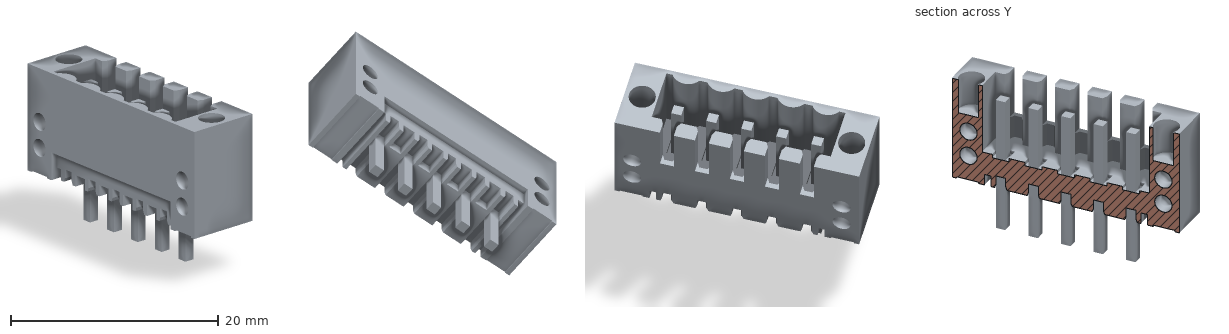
import cadquery as cq


LENGTH = 24.5
DEPTH = 7.45
HEIGHT = 11.07
FRONT_Y = -DEPTH / 2
BACK_Y = DEPTH / 2

PIN_COUNT = 5
PITCH = 3.5
PIN_WIDTH = 1.0
PIN_Y = FRONT_Y + 3.5
PIN_TAIL = 4.48
PIN_TIP_DROP = 1.27
PIN_LENGTH = PIN_TAIL + HEIGHT - PIN_TIP_DROP
PIN_XS = [(i - (PIN_COUNT - 1) / 2) * PITCH for i in range(PIN_COUNT)]
GAP_XS = [x + PITCH / 2 for x in PIN_XS[:-1]]

POCKET_LENGTH = 17.93
POCKET_FLOOR_Z = 3.68
POCKET_FRONT_Y = FRONT_Y + 0.45
POCKET_BACK_Y = BACK_Y - 1.62
POCKET_HEIGHT = HEIGHT - POCKET_FLOOR_Z

RIB_CHORD = 2.7
RIB_BULGE = 0.74

PIN_SINK_WIDTH = 1.76
PIN_SINK_DEPTH = 0.37

GROOVE_MOUTH = 1.94
GROOVE_END = 0.8
GROOVE_DEPTH = 1.08
SLOT_WIDTH = 1.4
SLOT_DEPTH = 5.02

END_HOLE_X = LENGTH / 2 - 1.76
SCREW_HOLE_DIAMETER = 2.62
SCREW_HOLE_DEPTH = 3.68
SCREW_HOLE_Y = 0.02
CROSS_HOLE_DIAMETER = 1.81
CROSS_HOLE_ZS = [2.85, 5.54]

RECESS_LENGTH = PIN_COUNT * PITCH
RECESS_HEIGHT = 2.87
RECESS_DEPTH = 0.64
COMB_HEIGHT = 1.18
COMB_LENGTH = 16.17
END_GAP = (RECESS_LENGTH - COMB_LENGTH) / 2
CHANNEL_WIDTH = 1.37
CHANNEL_DEPTH = 2.2
PIN_SLOT_HEIGHT = 1.32
PIN_SLOT_FLARE = 0.15
PIN_SLOT_FLARE_HEIGHT = 0.4
FOOT_NOTCH_X = LENGTH / 2 - 1.67
FOOT_NOTCH_WIDTH = 2.3
FOOT_NOTCH_HEIGHT = 0.15


def block(length, y_start, y_end, z_start, z_end, x=0.0):
    """Box centred on x, between the given Y and Z limits."""
    box = cq.Workplane("XY").box(length, y_end - y_start, z_end - z_start, centered=(True, False, False))
    return box.translate((x, y_start, z_start))


def pocket_rib(x):
    """Rib with an arc front, as tall as the pocket."""
    half = RIB_CHORD / 2
    return (
        cq.Workplane("XY", origin=(x, POCKET_FRONT_Y, POCKET_FLOOR_Z))
        .moveTo(-half, 0)
        .threePointArc((0, RIB_BULGE), (half, 0))
        .close()
        .extrude(POCKET_HEIGHT)
    )


def pocket():
    """Plug space: the rectangle less its front ribs."""
    space = block(POCKET_LENGTH, POCKET_FRONT_Y, POCKET_BACK_Y, POCKET_FLOOR_Z, HEIGHT)
    for x in PIN_XS:
        space = space.cut(pocket_rib(x))
    return space


def back_wall_groove(x):
    """Tapered groove behind a pin, down to the pocket floor."""
    return (
        cq.Workplane("XY", origin=(x, POCKET_BACK_Y, POCKET_FLOOR_Z))
        .polyline([
            (-GROOVE_MOUTH / 2, 0),
            (GROOVE_MOUTH / 2, 0),
            (GROOVE_END / 2, GROOVE_DEPTH),
            (-GROOVE_END / 2, GROOVE_DEPTH),
        ])
        .close()
        .extrude(POCKET_HEIGHT)
    )


def back_wall_slot(x):
    """Slot through the back wall, open at the top."""
    return block(SLOT_WIDTH, POCKET_BACK_Y, BACK_Y, HEIGHT - SLOT_DEPTH, HEIGHT, x)


def pin_sink(x):
    """Shallow square sunk into the pocket floor around a pin."""
    half = PIN_SINK_WIDTH / 2
    sink_floor_z = POCKET_FLOOR_Z - PIN_SINK_DEPTH
    return block(PIN_SINK_WIDTH, PIN_Y - half, PIN_Y + half, sink_floor_z, POCKET_FLOOR_Z, x)


def screw_hole(x):
    """Blind round hole from the top of one end."""
    return (
        cq.Workplane("XY", origin=(x, SCREW_HOLE_Y, HEIGHT - SCREW_HOLE_DEPTH))
        .circle(SCREW_HOLE_DIAMETER / 2)
        .extrude(SCREW_HOLE_DEPTH)
    )


def cross_hole(x, z):
    """Round hole from front to back."""
    return (
        cq.Workplane("XZ", origin=(x, BACK_Y, z))
        .circle(CROSS_HOLE_DIAMETER / 2)
        .extrude(DEPTH)
    )


def pin_slot(x):
    """Slot under the housing from front to back, flared at its mouth."""
    half = PIN_WIDTH / 2
    mouth = half + PIN_SLOT_FLARE
    return (
        cq.Workplane("XZ", origin=(x, BACK_Y, 0))
        .polyline([
            (-mouth, 0),
            (mouth, 0),
            (half, PIN_SLOT_FLARE_HEIGHT),
            (half, PIN_SLOT_HEIGHT),
            (-half, PIN_SLOT_HEIGHT),
            (-half, PIN_SLOT_FLARE_HEIGHT),
        ])
        .close()
        .extrude(DEPTH)
    )


def pin(x):
    """Straight square pin through the housing floor."""
    return (
        cq.Workplane("XY", origin=(x, PIN_Y, -PIN_TAIL))
        .rect(PIN_WIDTH, PIN_WIDTH)
        .extrude(PIN_LENGTH)
    )


def make_housing(pins):
    """Housing with every opening, and a matching hole for each pin."""
    body = block(LENGTH, FRONT_Y, BACK_Y, 0, HEIGHT)
    body = body.cut(pocket())

    recess_y = FRONT_Y + RECESS_DEPTH
    body = body.cut(block(RECESS_LENGTH, FRONT_Y, recess_y, 0, RECESS_HEIGHT))

    for x in GAP_XS:
        body = body.cut(block(CHANNEL_WIDTH, recess_y, recess_y + CHANNEL_DEPTH, 0, COMB_HEIGHT, x))

    for x in PIN_XS:
        for opening in (back_wall_groove(x), back_wall_slot(x), pin_sink(x), pin_slot(x)):
            body = body.cut(opening)

    for side in (-1, 1):
        hole_x = side * END_HOLE_X
        gap_x = side * (COMB_LENGTH + END_GAP) / 2
        body = body.cut(screw_hole(hole_x))
        for z in CROSS_HOLE_ZS:
            body = body.cut(cross_hole(hole_x, z))
        body = body.cut(block(END_GAP, FRONT_Y, BACK_Y, 0, COMB_HEIGHT, gap_x))
        body = body.cut(block(FOOT_NOTCH_WIDTH, FRONT_Y, BACK_Y, 0, FOOT_NOTCH_HEIGHT, side * FOOT_NOTCH_X))

    for each_pin in pins:
        body = body.cut(each_pin)
    return body


pins = [pin(x) for x in PIN_XS]
housing = make_housing(pins)

result = cq.Compound.makeCompound([housing.val(), *[each_pin.val() for each_pin in pins]])